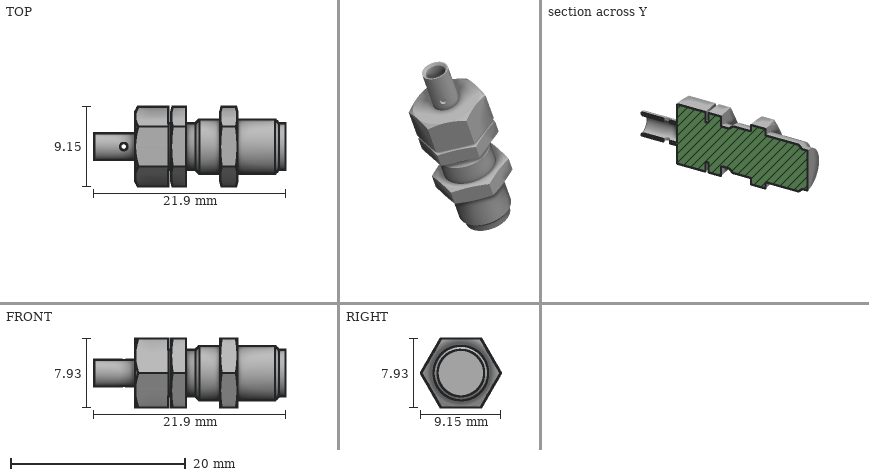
import math

import cadquery as cq


total_length = 21.92
hex_across_corners = 9.15
hex_across_flats = hex_across_corners * math.cos(math.radians(30))

ferrule_length = 4.69
ferrule_radius = 1.55
bore_radius = 1.16
bore_chamfer = 0.24
bore_depth = ferrule_length
cross_hole_diameter = 0.8
cross_hole_x = 3.4

clamp_nut_start = ferrule_length
clamp_nut_length = 3.8
clamp_nut_chamfer_angle = 30
proud_strip_width = 0.4
clamp_cylinder_radius = math.hypot(hex_across_flats / 2, proud_strip_width / 2)

nut_gap = 0.33
body_hex_start = clamp_nut_start + clamp_nut_length + nut_gap
body_hex_length = 1.71

panel_nut_start = 14.43
panel_nut_length = 1.97
thin_nut_chamfer_angle = 15

thread_radius = 3.125
neck_radius = 2.67
thread_cone_length = thread_radius - neck_radius
thread_start = 11.59
collar_length = 0.77
thread_end = total_length - collar_length


def cylinder_along_x(start, length, radius):
    return cq.Workplane("YZ").workplane(offset=start).circle(radius).extrude(length)


def chamfer_envelope(start, length, base_radius, angle, both_ends):
    """Turned blank whose end cones cut the corners of a hexagon."""
    end = start + length
    corner_radius = hex_across_corners / 2
    cone_length = (corner_radius - base_radius) * math.tan(math.radians(angle))
    outline = (
        cq.Workplane("XY")
        .moveTo(start, 0)
        .lineTo(start, base_radius)
        .lineTo(start + cone_length, corner_radius)
    )
    if both_ends:
        outline = outline.lineTo(end - cone_length, corner_radius).lineTo(end, base_radius)
    else:
        outline = outline.lineTo(end, corner_radius)
    return outline.lineTo(end, 0).close().revolve(360, (0, 0, 0), (1, 0, 0))


def hexagon_nut(start, length, base_radius, angle, both_ends=False):
    """Hexagon with corners on +Y and -Y, chamfered at its -X end or at both ends."""
    prism = cq.Workplane("YZ").workplane(offset=start).polygon(6, hex_across_corners).extrude(length)
    return prism.intersect(chamfer_envelope(start, length, base_radius, angle, both_ends))


def clamp_nut():
    hexagon = hexagon_nut(
        clamp_nut_start, clamp_nut_length, clamp_cylinder_radius, clamp_nut_chamfer_angle
    )
    return hexagon.union(cylinder_along_x(clamp_nut_start, clamp_nut_length, clamp_cylinder_radius))


def body():
    return (
        cq.Workplane("XY")
        .moveTo(clamp_nut_start, 0)
        .lineTo(clamp_nut_start, neck_radius)
        .lineTo(thread_start, neck_radius)
        .lineTo(thread_start + thread_cone_length, thread_radius)
        .lineTo(thread_end - thread_cone_length, thread_radius)
        .lineTo(thread_end, neck_radius)
        .lineTo(total_length, neck_radius)
        .lineTo(total_length, 0)
        .close()
        .revolve(360, (0, 0, 0), (1, 0, 0))
    )


def ferrule_bore():
    """Blind bore with a 45 degree countersink at its mouth."""
    return (
        cq.Workplane("XY")
        .lineTo(0, bore_radius + bore_chamfer)
        .lineTo(bore_chamfer, bore_radius)
        .lineTo(bore_depth, bore_radius)
        .lineTo(bore_depth, 0)
        .close()
        .revolve(360, (0, 0, 0), (1, 0, 0))
    )


def cross_hole():
    """Hole along Z through both walls of the ferrule."""
    return (
        cq.Workplane("XY")
        .center(cross_hole_x, 0)
        .circle(cross_hole_diameter / 2)
        .extrude(2 * ferrule_radius, both=True)
    )


body_hexagon = hexagon_nut(
    body_hex_start, body_hex_length, hex_across_flats / 2, thin_nut_chamfer_angle
)
panel_nut = hexagon_nut(
    panel_nut_start, panel_nut_length, hex_across_flats / 2, thin_nut_chamfer_angle, both_ends=True
)

result = (
    body()
    .union(cylinder_along_x(0, ferrule_length, ferrule_radius))
    .union(clamp_nut())
    .union(body_hexagon)
    .union(panel_nut)
    .cut(ferrule_bore())
    .cut(cross_hole())
)